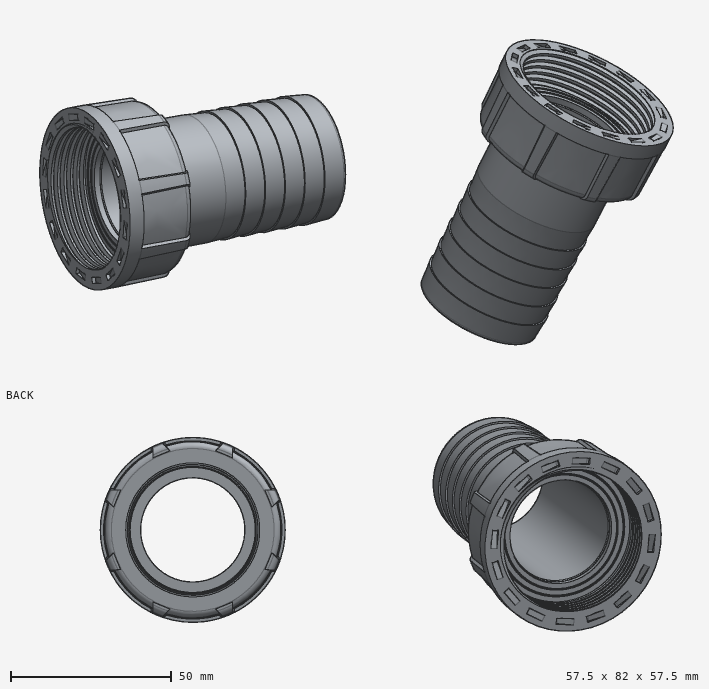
import cadquery as cq

LENGTH = 82.0

FLANGE_DIA = 57.5
FLANGE_LENGTH = 5.0
NUT_LENGTH = 23.2
GRIP_FRONT_RADIUS = 27.7
GRIP_REAR_RADIUS = 27.3
NUT_EDGE_RADIUS = 2.05
BORE_DIA = 44.85
NECK_HOLE_DIA = 41.65

RIB_COUNT = 8
RIB_REAR_RADIUS = 28.3
RIB_FRONT_WIDTH = 4.2
RIB_REAR_WIDTH = 3.0
RIB_SIDE_SLOPE = 0.4
RIB_INNER_RADIUS = 25.4
RIB_OUTER_RADIUS = 29.5

POCKET_COUNT = 16
POCKET_RADIUS = 25.7
POCKET_LENGTH = 5.7
POCKET_WIDTH = 2.0
POCKET_DEPTH = 1.2
POCKET_FLAT = 0.65
POCKET_ANGLE = 5.9

THREAD_PITCH = 2.3
THREAD_DEPTH = 1.4
THREAD_MOUTH_WIDTH = 1.4
THREAD_ROOT_WIDTH = 0.25
THREAD_TURNS = 6.4
THREAD_ANGLE = 155.0

GASKET_FRONT = 12.6
GASKET_THICKNESS = 2.0
GASKET_OUTER_DIA = BORE_DIA
GASKET_INNER_DIA = 33.1
BEAD_DIAS = [(36.3, 37.4), (40.5, 41.65)]
BEAD_HEIGHT = 0.25
BEAD_DRAFT = 0.2

COLLAR_DIA = 44.5
COLLAR_LENGTH = 4.1
TAIL_DIA = 40.5
TAIL_BORE_DIA = 32.3
BORE_CHAMFER = 0.3
BARB_COUNT = 6
BARB_START = 38.9
BARB_PITCH = 7.05
BARB_ROOT_DIA = 39.5
BARB_TIP_DIA = 40.7
END_BAND = 0.8
END_CHAMFER = 0.3

GASKET_REAR = GASKET_FRONT + GASKET_THICKNESS
COLLAR_REAR = GASKET_REAR + COLLAR_LENGTH


def turned(points):
    """Revolve a closed (radius, y) outline about the Y axis."""
    return cq.Workplane("XY").polyline(points).close().revolve(360, (0, 0, 0), (0, 1, 0))


def ring(outer_dia, inner_dia, front, rear):
    return turned([
        (inner_dia / 2, front),
        (outer_dia / 2, front),
        (outer_dia / 2, rear),
        (inner_dia / 2, rear),
    ])


def grip_cone(front_radius, rear_radius):
    """Solid cone behind the flange with a rounded rear edge."""
    cone = turned([
        (0, FLANGE_LENGTH),
        (front_radius, FLANGE_LENGTH),
        (rear_radius, NUT_LENGTH),
        (0, NUT_LENGTH),
    ])
    return cone.faces(">Y").edges().fillet(NUT_EDGE_RADIUS)


def rib_section(width):
    """Trapezoid (x, z) outline with the given width at the flange radius."""
    flange_radius = FLANGE_DIA / 2
    inner_half = width / 2 + RIB_SIDE_SLOPE * (flange_radius - RIB_INNER_RADIUS)
    outer_half = width / 2 + RIB_SIDE_SLOPE * (flange_radius - RIB_OUTER_RADIUS)
    return [
        (-inner_half, RIB_INNER_RADIUS),
        (inner_half, RIB_INNER_RADIUS),
        (outer_half, RIB_OUTER_RADIUS),
        (-outer_half, RIB_OUTER_RADIUS),
    ]


def grip_ribs():
    """Ribs that narrow toward the rear, trimmed to a rounded cone."""
    stock = (
        cq.Workplane("XZ", origin=(0, FLANGE_LENGTH, 0))
        .polyline(rib_section(RIB_FRONT_WIDTH))
        .close()
        .workplane(offset=FLANGE_LENGTH - NUT_LENGTH)
        .polyline(rib_section(RIB_REAR_WIDTH))
        .close()
        .loft(ruled=True)
    )
    rib = stock.intersect(grip_cone(FLANGE_DIA / 2, RIB_REAR_RADIUS))
    step = 360 / RIB_COUNT
    return [rib.rotate((0, 0, 0), (0, 1, 0), (i + 0.5) * step) for i in range(RIB_COUNT)]


def ratchet_pockets():
    """Pockets with a floor that ramps down clockwise to a short level stretch."""
    half = POCKET_LENGTH / 2
    wedge = (
        cq.Workplane("XY", origin=(0, 0, POCKET_RADIUS))
        .polyline([
            (-half, 0),
            (half, 0),
            (half, POCKET_DEPTH),
            (half - POCKET_FLAT, POCKET_DEPTH),
        ])
        .close()
        .extrude(POCKET_WIDTH / 2, both=True)
    )
    step = 360 / POCKET_COUNT
    return [wedge.rotate((0, 0, 0), (0, 1, 0), POCKET_ANGLE + i * step) for i in range(POCKET_COUNT)]


def thread_groove():
    """Right-handed helical groove that runs out through the mouth of the nut."""
    overlap = 0.2
    bore_radius = BORE_DIA / 2
    flank = (THREAD_MOUTH_WIDTH - THREAD_ROOT_WIDTH) / 2 / THREAD_DEPTH
    inner_half = THREAD_MOUTH_WIDTH / 2 + flank * overlap
    helix = cq.Wire.makeHelix(THREAD_PITCH, THREAD_TURNS * THREAD_PITCH, bore_radius)
    groove = (
        cq.Workplane("XZ")
        .polyline([
            (bore_radius - overlap, -inner_half),
            (bore_radius + THREAD_DEPTH, -THREAD_ROOT_WIDTH / 2),
            (bore_radius + THREAD_DEPTH, THREAD_ROOT_WIDTH / 2),
            (bore_radius - overlap, inner_half),
        ])
        .close()
        .sweep(cq.Workplane(helix), isFrenet=True)
    )
    along_y = groove.rotate((0, 0, 0), (1, 0, 0), -90)
    return along_y.rotate((0, 0, 0), (0, 1, 0), -THREAD_ANGLE).translate((0, -THREAD_PITCH, 0))


def make_nut():
    nut = ring(FLANGE_DIA, 0, 0, FLANGE_LENGTH).union(grip_cone(GRIP_FRONT_RADIUS, GRIP_REAR_RADIUS))
    for rib in grip_ribs():
        nut = nut.union(rib)
    nut = nut.cut(ring(BORE_DIA, 0, 0, COLLAR_REAR))
    nut = nut.cut(ring(NECK_HOLE_DIA, 0, COLLAR_REAR, NUT_LENGTH))
    for pocket in ratchet_pockets():
        nut = nut.cut(pocket)
    return nut.cut(thread_groove())


def make_gasket():
    gasket = ring(GASKET_OUTER_DIA, GASKET_INNER_DIA, GASKET_FRONT, GASKET_REAR)
    for inner_dia, outer_dia in BEAD_DIAS:
        bead = turned([
            (inner_dia / 2, GASKET_FRONT),
            (outer_dia / 2, GASKET_FRONT),
            (outer_dia / 2 - BEAD_DRAFT, GASKET_FRONT - BEAD_HEIGHT),
            (inner_dia / 2 + BEAD_DRAFT, GASKET_FRONT - BEAD_HEIGHT),
        ])
        gasket = gasket.union(bead)
    return gasket


def make_hose_tail():
    """Collar, plain neck and saw-tooth barbs that taper toward the free end."""
    root = BARB_ROOT_DIA / 2
    tip = BARB_TIP_DIA / 2
    bore = TAIL_BORE_DIA / 2
    outline = [
        (bore, GASKET_REAR + BORE_CHAMFER),
        (bore + BORE_CHAMFER, GASKET_REAR),
        (COLLAR_DIA / 2, GASKET_REAR),
        (COLLAR_DIA / 2, COLLAR_REAR),
        (TAIL_DIA / 2, COLLAR_REAR),
        (TAIL_DIA / 2, BARB_START),
    ]
    for i in range(1, BARB_COUNT):
        barb_y = BARB_START + i * BARB_PITCH
        outline += [(root, barb_y), (tip, barb_y)]
    outline += [
        (root, LENGTH - END_BAND),
        (root, LENGTH - END_CHAMFER),
        (root - END_CHAMFER, LENGTH),
        (bore, LENGTH),
    ]
    return turned(outline)


nut = make_nut()
gasket = make_gasket()
hose_tail = make_hose_tail()
result = cq.Compound.makeCompound([nut.val(), gasket.val(), hose_tail.val()])